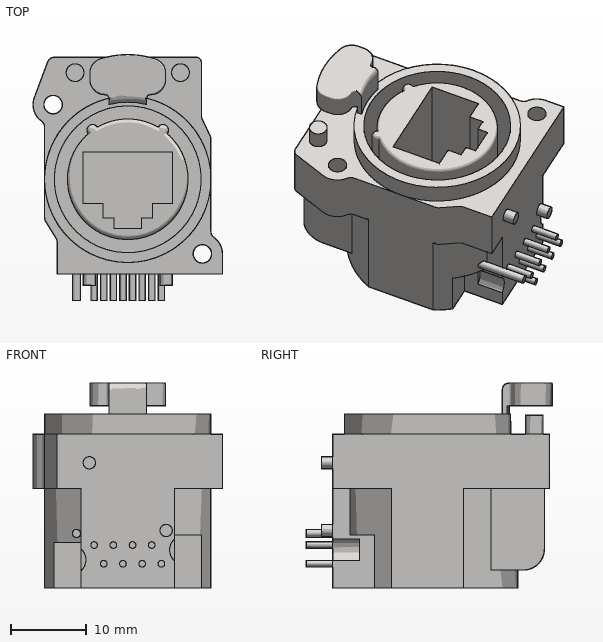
import cadquery as cq
import math


FLANGE_BOTTOM = 13.15
FLANGE_TOP = 20.35
RING_TOP = 23.07
LEVER_BOTTOM = 24.1
LEVER_TOP = 27.15

BOARD_FACE_Y = -12.55
PIN_END_Y = -16.05
FLANGE_BACK_Y = 16.15

HOUSING_R = 12.0
HOUSING_HALF_WIDTH = 11.0
COLUMN_HALF_WIDTH = 6.15

FLANGE_RIGHT_X = 9.77
FLANGE_LEFT_FOOT_X = -9.35
LEFT_STEP_Y = (-5.35, -8.05)
RIGHT_STEP_Y = (5.55, 8.15)
SCREW_OFFSET = 9.87
SCREW_HOLE_R = 1.2
EAR_R = 2.67
EAR_SLANT = math.radians(20.5)
FLANGE_CORNER_R = 1.0
BACK_RIGHT_CORNER_R = 0.75

REAR_BLOCK_HALF_WIDTH = 8.55
REAR_BLOCK_BOTTOM = 2.38
REAR_BLOCK_BACK_Y = 15.48
REAR_BLOCK_CORNER_R = 2.8

NOTCH_HALF_WIDTH = 9.75
NOTCH_FACE_Y = -math.sqrt(HOUSING_R**2 - NOTCH_HALF_WIDTH**2)
NOTCHES = ((-1, 6.05, 3.75), (1, 7.05, 5.05))
GROOVE_R = 1.95
GROOVE_BITE = 0.62
GROOVE_LENGTH = 3.55

RING_R = HOUSING_HALF_WIDTH
CHANNEL_R = 9.7
SOCKET_R = 7.98
SOCKET_EDGE_R = 0.6
SOCKET_DEPTH = 15.0
SOCKET_FLOOR = RING_TOP - SOCKET_DEPTH
LOBE_R = 0.75
LOBE_ANGLE = math.radians(35.6)

JACK_TOP_Y = 3.62
JACK_STEPS = ((5.93, -3.2), (3.3, -5.1), (1.82, -6.5))

LEVER_BACK_Y = 16.52
LEVER_HALF_WIDTH = 5.02
LEVER_FRONT_Y = 11.17
LEVER_CORNER_R = 2.02
LEVER_FRONT_ARC_Y = LEVER_FRONT_Y + LEVER_CORNER_R
LEVER_BACK_ARC_Y = 14.0
LEVER_EDGE_R = 0.2
NECK_HALF_WIDTH = 2.5
NECK_INNER_R = 10.2
NECK_OUTER_R = 10.82
NECK_BEND_R = 0.88

STOP_POST = (6.97, 14.1)
STOP_POST_R = 1.17
STOP_POST_HEIGHT = 2.5
PEG_R = 0.8
PEG_LENGTH = 1.5
PEGS = ((-5.08, 16.58), (5.08, 7.62))
GROUND_PIN = (-6.78, 7.23)
GROUND_PIN_DIAMETER = 1.08
CONTACT_COUNT = 8
CONTACT_PITCH = 1.27
CONTACT_DIAMETER = 0.88
CONTACT_ROWS_Z = (5.7, 3.23)


def box(x0, x1, y0, y1, z0, z1):
    """Box between two opposite corners."""
    return cq.Workplane("XY").box(x1 - x0, y1 - y0, z1 - z0, centered=False).translate((x0, y0, z0))


def disc(radius, z0, z1, x=0, y=0):
    """Upright cylinder between two heights."""
    return cq.Workplane("XY", origin=(x, y, z0)).circle(radius).extrude(z1 - z0)


def rod(radius, x, z, y0, y1):
    """Cylinder along Y between two depths, y0 < y1."""
    return cq.Workplane("XZ", origin=(x, y1, z)).circle(radius).extrude(y1 - y0)


def round_upright(solid, point, radius):
    """Fillet the upright edge of the flange that passes nearest to an XY point."""
    middle = (point[0], point[1], (FLANGE_BOTTOM + FLANGE_TOP) / 2)
    return solid.edges("|Z").edges(cq.NearestToPointSelector(middle)).fillet(radius)


def make_housing():
    """Drum with flat sides, column on the board side and notches beside the column."""
    drum = disc(HOUSING_R, 0, FLANGE_BOTTOM)
    half = HOUSING_HALF_WIDTH
    drum = drum.intersect(box(-half, half, -HOUSING_R, HOUSING_R, 0, FLANGE_BOTTOM))
    for side, notch_top, _ in NOTCHES:
        x0, x1 = sorted((side * COLUMN_HALF_WIDTH, side * NOTCH_HALF_WIDTH))
        drum = drum.cut(box(x0, x1, -HOUSING_R, NOTCH_FACE_Y, 0, notch_top))
    column = box(-COLUMN_HALF_WIDTH, COLUMN_HALF_WIDTH, BOARD_FACE_Y, 0, 0, FLANGE_BOTTOM)
    housing = drum.union(column)
    groove_x = COLUMN_HALF_WIDTH + GROOVE_R - GROOVE_BITE
    for side, _, groove_z in NOTCHES:
        groove = rod(GROOVE_R, side * groove_x, groove_z, BOARD_FACE_Y, BOARD_FACE_Y + GROOVE_LENGTH)
        housing = housing.cut(groove)
    return housing


def make_rear_block():
    """Block behind the drum, with its lower rear edge rounded."""
    half = REAR_BLOCK_HALF_WIDTH
    block = box(-half, half, 0, REAR_BLOCK_BACK_Y, REAR_BLOCK_BOTTOM, FLANGE_BOTTOM)
    return block.edges(">Y and <Z").fillet(REAR_BLOCK_CORNER_R)


def make_flange():
    """Plate with a rounded screw ear at two opposite corners."""
    half = HOUSING_HALF_WIDTH
    ear_reach = SCREW_OFFSET + EAR_R
    ear_root_y = SCREW_OFFSET - math.sqrt(EAR_R**2 - (half - SCREW_OFFSET) ** 2)
    ear_roots = ((-half, ear_root_y), (half, -ear_root_y))

    slant_foot_x = -SCREW_OFFSET - EAR_R * math.cos(EAR_SLANT)
    slant_foot_y = SCREW_OFFSET + EAR_R * math.sin(EAR_SLANT)
    slant_top_x = slant_foot_x + (FLANGE_BACK_Y - slant_foot_y) * math.tan(EAR_SLANT)

    slant_top = (slant_top_x, FLANGE_BACK_Y)
    back_right = (FLANGE_RIGHT_X, FLANGE_BACK_Y)
    left_step = ((-half, LEFT_STEP_Y[0]), (FLANGE_LEFT_FOOT_X, LEFT_STEP_Y[1]))
    right_step = ((half, RIGHT_STEP_Y[0]), (FLANGE_RIGHT_X, RIGHT_STEP_Y[1]))

    flange = (
        cq.Workplane("XY", origin=(0, 0, FLANGE_BOTTOM))
        .moveTo(*slant_top)
        .lineTo(slant_foot_x, slant_foot_y)
        .threePointArc((-ear_reach, SCREW_OFFSET), ear_roots[0])
        .lineTo(*left_step[0])
        .lineTo(*left_step[1])
        .lineTo(FLANGE_LEFT_FOOT_X, BOARD_FACE_Y)
        .lineTo(ear_reach, BOARD_FACE_Y)
        .lineTo(ear_reach, -SCREW_OFFSET)
        .tangentArcPoint(ear_roots[1], relative=False)
        .lineTo(*right_step[0])
        .lineTo(*right_step[1])
        .lineTo(*back_right)
        .close()
        .extrude(FLANGE_TOP - FLANGE_BOTTOM)
    )
    for corner in (slant_top, *ear_roots, *left_step, *right_step):
        flange = round_upright(flange, corner, FLANGE_CORNER_R)
    flange = round_upright(flange, back_right, BACK_RIGHT_CORNER_R)

    for side in (-1, 1):
        hole = disc(SCREW_HOLE_R, FLANGE_BOTTOM, FLANGE_TOP, side * SCREW_OFFSET, -side * SCREW_OFFSET)
        flange = flange.cut(hole)
    return flange


def make_socket_core():
    """Round core with two lobes and a rounded rim, pierced by the stepped jack opening."""
    core = disc(SOCKET_R, SOCKET_FLOOR, RING_TOP)
    for side in (-1, 1):
        x = side * SOCKET_R * math.sin(LOBE_ANGLE)
        y = SOCKET_R * math.cos(LOBE_ANGLE)
        core = core.union(disc(LOBE_R, SOCKET_FLOOR, RING_TOP, x, y))
    core = core.faces(">Z").edges().fillet(SOCKET_EDGE_R)
    for half_width, lower_y in JACK_STEPS:
        core = core.cut(box(-half_width, half_width, lower_y, JACK_TOP_Y, SOCKET_FLOOR, RING_TOP))
    return core


def make_lever():
    """Oval push tab on a curved neck that stands on the ring."""
    neck_inner_y = math.sqrt(NECK_INNER_R**2 - NECK_HALF_WIDTH**2)
    arc_x = LEVER_HALF_WIDTH - LEVER_CORNER_R
    neck_end_y = LEVER_FRONT_Y - (arc_x - NECK_HALF_WIDTH)

    rise = LEVER_BACK_Y - LEVER_BACK_ARC_Y
    back_r = (arc_x**2 + rise**2 - LEVER_CORNER_R**2) / (2 * (rise - LEVER_CORNER_R))
    back_centre_y = LEVER_BACK_Y - back_r
    stretch = back_r / (back_r - LEVER_CORNER_R)
    back_x = arc_x * stretch
    back_y = back_centre_y + (LEVER_BACK_ARC_Y - back_centre_y) * stretch

    tab = (
        cq.Workplane("XY", origin=(0, 0, RING_TOP))
        .moveTo(-NECK_HALF_WIDTH, neck_inner_y)
        .threePointArc((0, NECK_INNER_R), (NECK_HALF_WIDTH, neck_inner_y))
        .lineTo(NECK_HALF_WIDTH, neck_end_y)
        .tangentArcPoint((arc_x, LEVER_FRONT_Y), relative=False)
        .tangentArcPoint((LEVER_HALF_WIDTH, LEVER_FRONT_ARC_Y), relative=False)
        .lineTo(LEVER_HALF_WIDTH, LEVER_BACK_ARC_Y)
        .tangentArcPoint((back_x, back_y), relative=False)
        .threePointArc((0, LEVER_BACK_Y), (-back_x, back_y))
        .tangentArcPoint((-LEVER_HALF_WIDTH, LEVER_BACK_ARC_Y), relative=False)
        .lineTo(-LEVER_HALF_WIDTH, LEVER_FRONT_ARC_Y)
        .tangentArcPoint((-arc_x, LEVER_FRONT_Y), relative=False)
        .tangentArcPoint((-NECK_HALF_WIDTH, neck_end_y), relative=False)
        .close()
        .extrude(LEVER_TOP - RING_TOP)
    )
    tab = tab.edges(cq.NearestToPointSelector((0, LEVER_BACK_Y, LEVER_TOP))).fillet(LEVER_EDGE_R)

    bend_r = NECK_INNER_R + NECK_BEND_R
    bend_z = LEVER_TOP - NECK_BEND_R
    bend_reach = NECK_BEND_R * math.sqrt(0.5)
    bend_waste = (
        cq.Workplane("XZ")
        .moveTo(NECK_INNER_R, LEVER_TOP)
        .lineTo(NECK_INNER_R, bend_z)
        .threePointArc((bend_r - bend_reach, bend_z + bend_reach), (bend_r, LEVER_TOP))
        .close()
        .revolve(360, (0, 0, 0), (0, 1, 0))
    )
    tab = tab.cut(bend_waste)

    reach = 2 * NECK_OUTER_R
    undercut = box(-reach, reach, 0, reach, RING_TOP, LEVER_BOTTOM)
    undercut = undercut.cut(disc(NECK_OUTER_R, RING_TOP, LEVER_BOTTOM))
    return tab.cut(undercut)


def make_pins():
    """Locating pegs, ground pin and two staggered rows of contacts on the board side."""
    rods = [rod(PEG_R, x, z, BOARD_FACE_Y - PEG_LENGTH, BOARD_FACE_Y) for x, z in PEGS]
    rods.append(rod(GROUND_PIN_DIAMETER / 2, *GROUND_PIN, PIN_END_Y, NOTCH_FACE_Y))
    for index in range(CONTACT_COUNT):
        x = (index - (CONTACT_COUNT - 1) / 2) * CONTACT_PITCH
        rods.append(rod(CONTACT_DIAMETER / 2, x, CONTACT_ROWS_Z[index % 2], PIN_END_Y, BOARD_FACE_Y))
    return rods


def make_stop_posts():
    """Two posts on the flange, one on each side of the lever."""
    x, y = STOP_POST
    top = FLANGE_TOP + STOP_POST_HEIGHT
    return [disc(STOP_POST_R, FLANGE_TOP, top, side * x, y) for side in (-1, 1)]


body = make_housing().union(make_rear_block()).union(make_flange())
body = body.union(disc(RING_R, FLANGE_TOP, RING_TOP))
body = body.cut(disc(CHANNEL_R, SOCKET_FLOOR, RING_TOP))
for part in (make_socket_core(), make_lever(), *make_stop_posts(), *make_pins()):
    body = body.union(part)

result = body